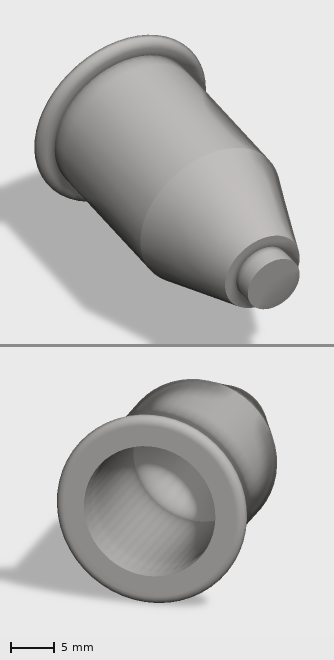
import cadquery as cq

total_length = 36.0
rim_thickness = 1.98
barrel_end = 21.53
nose_end = 33.4

rim_diameter = 22.8
barrel_diameter = 18.8
nose_end_diameter = 10.05
pin_diameter = 7.0
bore_diameter = 15.8

bore_depth = barrel_end
bore_tip = nose_end

rim_radius = rim_diameter / 2
rim_face_radius = rim_radius - rim_thickness / 2
barrel_radius = barrel_diameter / 2
nose_end_radius = nose_end_diameter / 2
pin_radius = pin_diameter / 2
bore_radius = bore_diameter / 2


def revolve_about_x(profile):
    return profile.close().revolve(360, (0, 0, 0), (1, 0, 0))


body = revolve_about_x(
    cq.Workplane("XZ")
    .lineTo(0, rim_face_radius)
    .threePointArc((rim_thickness / 2, rim_radius), (rim_thickness, rim_face_radius))
    .lineTo(rim_thickness, barrel_radius)
    .lineTo(barrel_end, barrel_radius)
    .lineTo(nose_end, nose_end_radius)
    .lineTo(nose_end, pin_radius)
    .lineTo(total_length, pin_radius)
    .lineTo(total_length, 0)
)

bore = revolve_about_x(
    cq.Workplane("XZ")
    .lineTo(0, bore_radius)
    .lineTo(bore_depth, bore_radius)
    .lineTo(bore_tip, 0)
)

result = body.cut(bore)